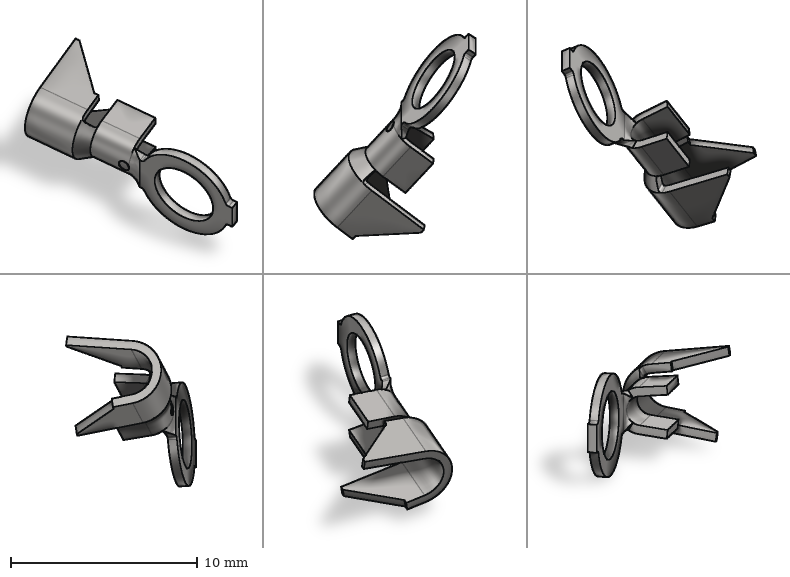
import cadquery as cq
import math


sheet = 0.5
total_length = 12.83

wire_radius = 1.31
axis_y = wire_radius
insulation_radius = wire_radius + sheet

insulation_length = 3.02
insulation_flare = 8.0
insulation_tip_y = 4.7
insulation_short_y = 2.21
wing_land = 0.26

wire_start = 3.84
wire_end = 6.25
wire_flare = 6.1
wire_tip_y = 2.78

neck_start = 6.97
neck_width = 2.21
ring_center_x = 9.76
ring_diameter = 5.58
hole_diameter = 3.7
tail_width = 1.54
corner_radius = 0.19

web_half_angle = 60.0
web_fillet = 0.18
dimple_x = 5.95
dimple_diameter = 0.64
dimple_depth = 0.05


def curved_shell(start, end, start_radius, end_radius, half_angle):
    """Sheet curved about the barrel axis, spanning half_angle to each side of the front."""
    profile = [
        (start, axis_y - start_radius),
        (end, axis_y - end_radius),
        (end, axis_y - end_radius + sheet),
        (start, axis_y - start_radius + sheet),
    ]
    shell = cq.Workplane("XY").polyline(profile).close()
    shell = shell.revolve(2 * half_angle, (0, axis_y), (1, axis_y))
    return shell.rotate((0, axis_y, 0), (1, axis_y, 0), -half_angle)


def wing_reach(tip_y, radius, flare):
    """Straight length of a wing whose inner edge ends at tip_y."""
    root_y = axis_y - (radius - sheet) * math.sin(math.radians(flare))
    return (tip_y - root_y) / math.cos(math.radians(flare))


def upper_wing(outline, radius, flare):
    """Flat wing continuing the upper end of a barrel; outline is (x, distance from the bend)."""
    lean_y = -math.sin(math.radians(flare))
    lean_z = math.cos(math.radians(flare))
    inner_radius = radius - sheet
    plane = cq.Plane(
        origin=(0, axis_y + inner_radius * lean_y, inner_radius * lean_z),
        xDir=(1, 0, 0),
        normal=(0, lean_y, lean_z),
    )
    return cq.Workplane(plane).polyline(outline).close().extrude(sheet)


def barrel(start, end, radius, flare, wing_outline):
    """U-shaped barrel; the lower wing is the upper one turned half a turn about a Y line."""
    middle = (start + end) / 2
    upper = upper_wing(wing_outline, radius, flare)
    lower = upper.rotate((middle, 0, 0), (middle, 1, 0), 180)
    return curved_shell(start, end, radius, radius, 90 - flare).union(upper).union(lower)


def insulation_barrel():
    """Barrel whose two wings have opposite sloping edges."""
    tall = wing_reach(insulation_tip_y, insulation_radius, insulation_flare)
    short = wing_reach(insulation_short_y, insulation_radius, insulation_flare)
    outline = [
        (0, 0),
        (insulation_length, 0),
        (insulation_length, short),
        (insulation_length - wing_land, short),
        (wing_land, tall),
        (0, tall),
    ]
    return barrel(0, insulation_length, insulation_radius, insulation_flare, outline)


def wire_barrel():
    """Barrel with two plain rectangular wings."""
    reach = wing_reach(wire_tip_y, wire_radius, wire_flare)
    outline = [(wire_start, 0), (wire_end, 0), (wire_end, reach), (wire_start, reach)]
    return barrel(wire_start, wire_end, wire_radius, wire_flare, outline)


def web():
    """Tapered shell joining the barrels, with rounded roots at both ends of each edge."""
    blank_half_angle = 90
    shell = curved_shell(
        insulation_length, wire_start, insulation_radius, wire_radius, blank_half_angle
    )
    edge_angle = math.radians(web_half_angle)
    for side in (1, -1):
        edge_plane = cq.Plane(
            origin=(insulation_length, axis_y, 0),
            xDir=(1, 0, 0),
            normal=(0, -math.cos(edge_angle), side * math.sin(edge_angle)),
        )
        trim = (
            cq.Workplane(edge_plane)
            .rect(wire_start - insulation_length, side * insulation_radius, centered=False)
            .extrude(insulation_radius + sheet)
            .edges(cq.selectors.ParallelDirSelector(edge_plane.zDir))
            .edges("<Y")
            .fillet(web_fillet)
        )
        shell = shell.cut(trim)
    return shell


def neck():
    """Blend from the curved wire barrel to the flat sheet, at constant width."""
    half_width = neck_width / 2
    inner_radius = wire_radius - sheet
    edge_angle = math.asin(half_width / wire_radius)
    outer_edge_y = axis_y - wire_radius * math.cos(edge_angle)
    inner_edge_y = axis_y - inner_radius * math.cos(edge_angle)
    inner_edge_z = inner_radius * math.sin(edge_angle)
    return (
        cq.Workplane("YZ", origin=(wire_end, 0, 0))
        .moveTo(outer_edge_y, -half_width)
        .threePointArc((0, 0), (outer_edge_y, half_width))
        .lineTo(inner_edge_y, inner_edge_z)
        .threePointArc((sheet, 0), (inner_edge_y, -inner_edge_z))
        .close()
        .workplane(offset=neck_start - wire_end)
        .moveTo(0, -half_width)
        .lineTo(0, half_width)
        .lineTo(sheet, half_width)
        .lineTo(sheet, -half_width)
        .close()
        .loft(ruled=True)
    )


def strip(start, end, width):
    """Flat sheet of the given width, centred on the X axis."""
    blank = cq.Workplane("XY").box(end - start, sheet, width, centered=(False, False, True))
    return blank.translate((start, 0, 0))


def ring_plate():
    """Flat ring with its neck strip, tail tab and stud hole."""
    plate = (
        cq.Workplane("XZ", origin=(ring_center_x, 0, 0))
        .circle(ring_diameter / 2)
        .extrude(-sheet)
        .union(strip(neck_start, ring_center_x, neck_width))
        .union(strip(ring_center_x, total_length, tail_width))
    )
    margin = 0.06
    inside_corners = cq.selectors.BoxSelector(
        (neck_start + margin, -margin, -neck_width),
        (total_length - margin, sheet + margin, neck_width),
    )
    plate = plate.edges("|Y").edges(inside_corners).fillet(corner_radius)
    hole = cq.Workplane("XZ", origin=(ring_center_x, 0, 0)).circle(hole_diameter / 2).extrude(-sheet)
    return plate.cut(hole)


def dimple():
    """Shallow round recess pressed into the front of the wire barrel."""
    disc = cq.Workplane("XZ", origin=(dimple_x, 0, 0)).circle(dimple_diameter / 2)
    return disc.extrude(-dimple_depth)


result = (
    insulation_barrel()
    .union(web())
    .union(wire_barrel())
    .union(neck())
    .union(ring_plate())
    .cut(dimple())
)